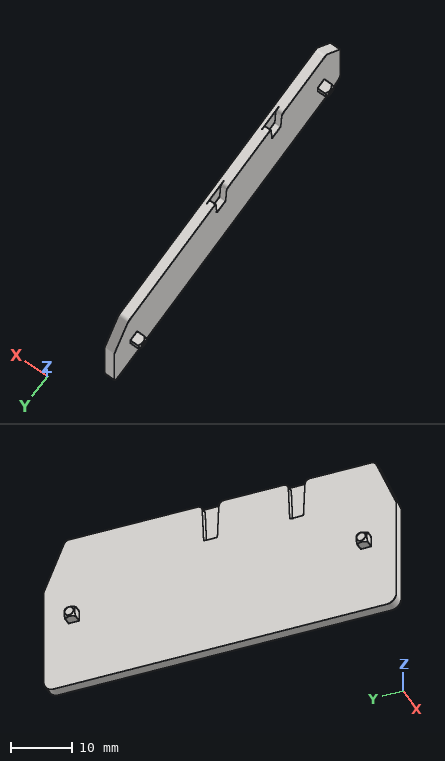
import cadquery as cq

total_thickness = 4.0
plate_thickness = 1.95
plate_length = 63.15
plate_height = 28.9
shoulder_run = 3.85
shoulder_drop = 9.15
upper_corner_radius = 1.0
lower_corner_radius = 1.75

pin_length = total_thickness - plate_thickness
pin_side = 1.9
pin_half_spacing = 26.15
pin_height = 13.2
pin_tip_diameter = 1.6
pin_bevel_angle = 45

slot_centers = (1.7, -13.7)
slot_depth = 1.2
slot_height = 7.1
slot_floor_width = 2.45
slot_mouth_width = 3.0
slot_mouth_radius = 0.9
slot_floor_radius = 0.3


def make_plate():
    half_length = plate_length / 2
    half_top = half_length - shoulder_run
    shoulder_height = plate_height - shoulder_drop
    outline = [
        (-half_length, 0),
        (half_length, 0),
        (half_length, shoulder_height),
        (half_top, plate_height),
        (-half_top, plate_height),
        (-half_length, shoulder_height),
    ]
    plate = cq.Workplane("YZ").polyline(outline).close().extrude(plate_thickness)
    plate = plate.edges("|X").edges("<Z").fillet(lower_corner_radius)
    upper_corners = cq.selectors.BoxSelector(
        (-plate_thickness, -plate_length, shoulder_height - upper_corner_radius),
        (2 * plate_thickness, plate_length, plate_height + upper_corner_radius),
    )
    return plate.edges("|X").edges(upper_corners).fillet(upper_corner_radius)


def cut_slot(plate, center_y):
    floor_z = plate_height - slot_height
    outline = [
        (center_y - slot_floor_width / 2, floor_z),
        (center_y + slot_floor_width / 2, floor_z),
        (center_y + slot_mouth_width / 2, plate_height),
        (center_y - slot_mouth_width / 2, plate_height),
    ]
    slot = cq.Workplane("YZ").polyline(outline).close().extrude(slot_depth)
    slot = slot.edges("|X").edges("<Z").fillet(slot_floor_radius)
    plate = plate.cut(slot)
    lips = cq.selectors.BoxSelector(
        (0, center_y - slot_mouth_width, plate_height - slot_floor_radius),
        (slot_depth, center_y + slot_mouth_width, plate_height + slot_floor_radius),
    )
    return plate.edges("|X").edges(lips).fillet(slot_mouth_radius)


def make_pin(center_y):
    base = cq.Workplane("YZ").center(center_y, pin_height)
    pin = base.rect(pin_side, pin_side).extrude(-pin_length)
    tip_cone = (
        cq.Workplane("YZ", origin=(-pin_length, center_y, pin_height))
        .circle(pin_tip_diameter / 2)
        .extrude(pin_length, taper=-pin_bevel_angle)
    )
    return pin.intersect(tip_cone)


result = make_plate()
for slot_center in slot_centers:
    result = cut_slot(result, slot_center)
for side in (-1, 1):
    result = result.union(make_pin(side * pin_half_spacing))